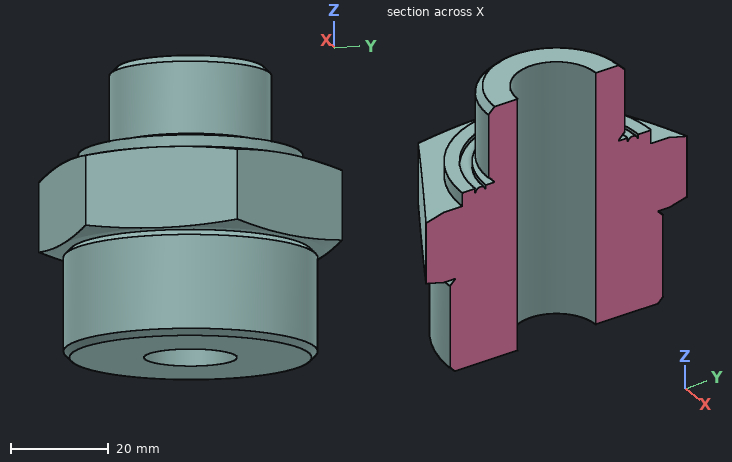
import cadquery as cq
import math

total_height = 60.0
collar_top = 42.0
hex_top = 38.8
hex_bottom = 22.0

hex_across_flats = 55.0
hex_across_corners = hex_across_flats / math.cos(math.pi / 6)
hex_chamfer_angle = 15.0

lower_stud_diameter = 52.0
lower_stud_chamfer = 1.25
upper_stud_diameter = 33.25
upper_stud_chamfer = 1.5
collar_diameter = 46.0
bore_diameter = 19.0

groove_inner_diameter = 34.5
groove_outer_diameter = 39.7
ring_section_diameter = (groove_outer_diameter - groove_inner_diameter) / 2
groove_depth = ring_section_diameter / 2
ring_center_radius = (groove_outer_diameter + groove_inner_diameter) / 4


def chamfered_stud(diameter, bottom, top, chamfer):
    """Cylinder along Z with the same chamfer on both end edges."""
    return (
        cq.Workplane("XY", origin=(0, 0, bottom))
        .circle(diameter / 2)
        .extrude(top - bottom)
        .faces("<Z or >Z")
        .chamfer(chamfer)
    )


def hex_section():
    """Hexagonal prism whose corners are turned off by shallow cones at both ends."""
    prism = (
        cq.Workplane("XY", origin=(0, 0, hex_bottom))
        .transformed(rotate=(0, 0, 90))
        .polygon(6, hex_across_corners)
        .extrude(hex_top - hex_bottom)
    )
    flat_radius = hex_across_flats / 2
    corner_radius = hex_across_corners / 2
    corner_drop = (corner_radius - flat_radius) * math.tan(math.radians(hex_chamfer_angle))
    turned_envelope = (
        cq.Workplane("XZ")
        .moveTo(0, hex_bottom)
        .lineTo(flat_radius, hex_bottom)
        .lineTo(corner_radius, hex_bottom + corner_drop)
        .lineTo(corner_radius, hex_top - corner_drop)
        .lineTo(flat_radius, hex_top)
        .lineTo(0, hex_top)
        .close()
        .revolve(360, (0, 0, 0), (0, 1, 0))
    )
    return prism.intersect(turned_envelope)


def collar():
    """Plain round collar on top of the hexagon."""
    return (
        cq.Workplane("XY", origin=(0, 0, hex_top))
        .circle(collar_diameter / 2)
        .extrude(collar_top - hex_top)
    )


def seal_groove():
    """Square-sided annular groove cut down from the collar face."""
    return (
        cq.Workplane("XY", origin=(0, 0, collar_top - groove_depth))
        .circle(groove_outer_diameter / 2)
        .circle(groove_inner_diameter / 2)
        .extrude(groove_depth)
    )


def sealing_ring():
    """Round-section ring that fills the groove width, centred on the groove floor."""
    return (
        cq.Workplane("XZ")
        .center(ring_center_radius, collar_top - groove_depth)
        .circle(ring_section_diameter / 2)
        .revolve(360, (-ring_center_radius, 0, 0), (-ring_center_radius, 1, 0))
    )


body = (
    chamfered_stud(lower_stud_diameter, 0, hex_bottom, lower_stud_chamfer)
    .union(hex_section())
    .union(collar())
    .union(chamfered_stud(upper_stud_diameter, collar_top, total_height, upper_stud_chamfer))
)
bore = cq.Workplane("XY").circle(bore_diameter / 2).extrude(total_height)

result = body.cut(seal_groove()).union(sealing_ring()).cut(bore)